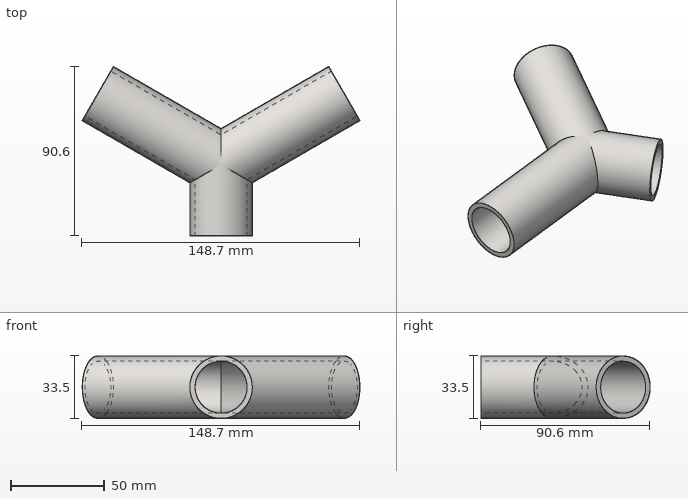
import cadquery as cq
import math

overall_width = 148.7
outer_diameter = 33.5
bore_diameter = 27.8
leg_length = 38.0
arm_angle = 30.0

arm_rise = math.radians(arm_angle)
end_overhang = outer_diameter / 2 * math.sin(arm_rise)
arm_length = (overall_width / 2 - end_overhang) / math.cos(arm_rise)

branches = [
    (arm_angle, arm_length),
    (180 - arm_angle, arm_length),
    (270, leg_length),
]


def joined_cylinders(diameter):
    """Cylinders of one diameter along all branches, meeting at the origin."""
    body = cq.Workplane("XY")
    for angle, length in branches:
        cylinder = cq.Workplane("YZ").circle(diameter / 2).extrude(length)
        body = body.union(cylinder.rotate((0, 0, 0), (0, 0, 1), angle))
    return body


result = joined_cylinders(outer_diameter).cut(joined_cylinders(bore_diameter))